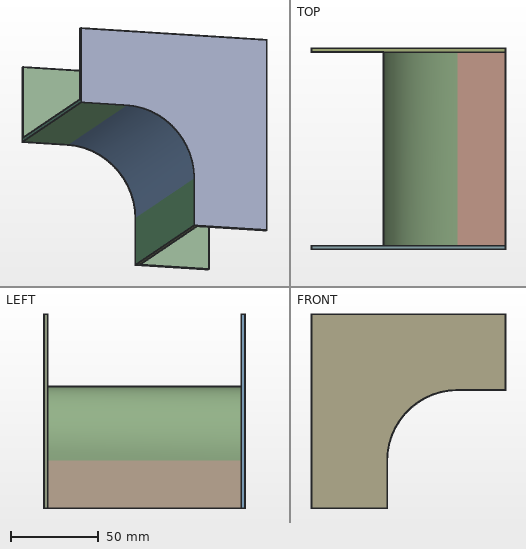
import cadquery as cq
import math

side_length = 110.5
inner_width = 110.0
sheet_thickness = 2.2
leg_depth = 43.2
underside_radius = 40.0

overall_width = inner_width + 2 * sheet_thickness
channel_depth = leg_depth - sheet_thickness
channel_radius = underside_radius + sheet_thickness


def elbow(depth, radius, width):
    """Elbow-shaped solid centred on Y = 0.

    Its two legs, each of the given depth, run along -X and +Z and meet
    in an inner corner rounded by the given radius.
    """
    leg_face_z = side_length - depth
    bend_end_x = depth + radius
    bend_start_z = leg_face_z - radius
    arc_mid_offset = radius * (1 - math.sqrt(0.5))
    return (
        cq.Workplane("XZ")
        .moveTo(0, 0)
        .lineTo(depth, 0)
        .lineTo(depth, bend_start_z)
        .threePointArc(
            (depth + arc_mid_offset, leg_face_z - arc_mid_offset),
            (bend_end_x, leg_face_z),
        )
        .lineTo(side_length, leg_face_z)
        .lineTo(side_length, side_length)
        .lineTo(0, side_length)
        .close()
        .extrude(width / 2, both=True)
    )


block = elbow(leg_depth, underside_radius, overall_width)
channel = elbow(channel_depth, channel_radius, inner_width)

result = block.cut(channel)